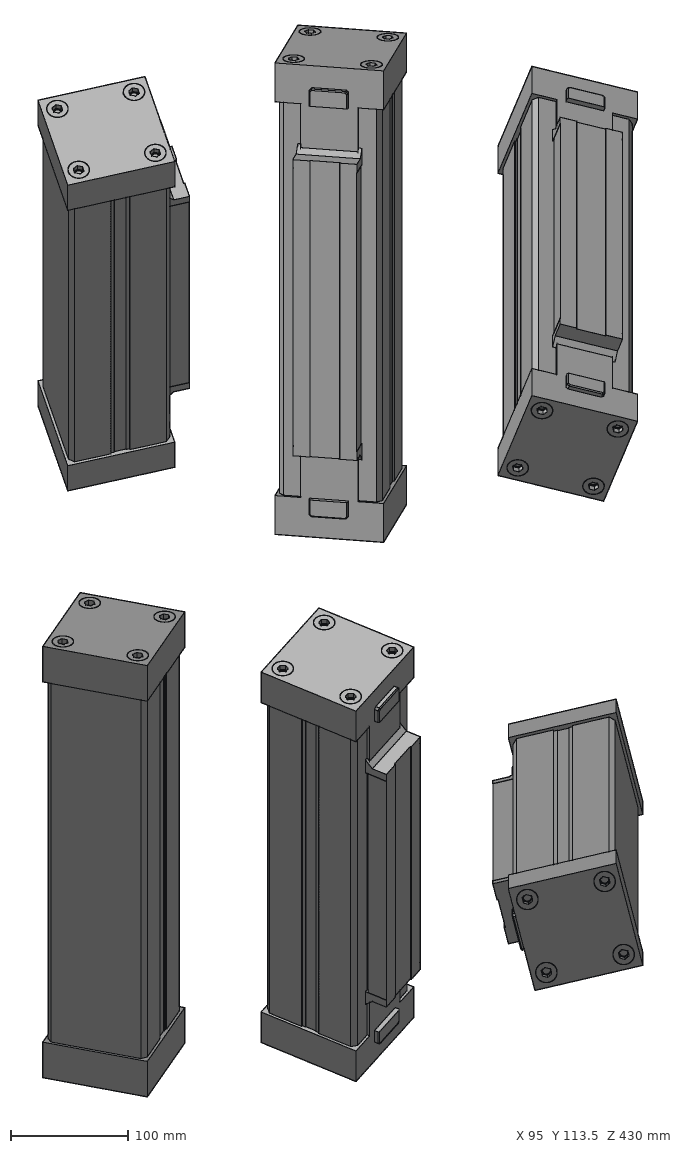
import cadquery as cq
import math

total_length = 430.0
cap_size = 95.0
cap_thickness = 35.5

profile_size = 90.0
profile_chamfer = 4.3
rail_width = 50.0

slot_mouth_width = 16.8
slot_mouth_depth = 1.0
slot_neck_width = 10.4
slot_neck_depth = 0.5

screw_offset = 34.0
counterbore_diameter = 18.5
screw_head_diameter = 18.0
screw_head_height = 10.0
socket_across_flats = 8.0
socket_depth = 5.0
socket_tip_diameter = 7.0
socket_tip_depth = 1.0

pad_width = 34.0
pad_length = 15.5
pad_height = 4.5
pad_corner_chamfer = 2.0
pad_edge_chamfer = 1.0

carriage_length = 270.0
carriage_width = 56.0
carriage_top = 66.0
carriage_end_length = 8.0
carriage_side_step = 0.25
wiper_flare = 7.0
top_groove_width = 26.0
top_groove_depth = 1.0

half_length = total_length / 2
profile_length = total_length - 2 * cap_thickness
profile_half = profile_size / 2
cap_half = cap_size / 2
rail_top = cap_half


def make_profile():
    """Square extrusion with chamfered corners, a raised rail and a stepped slot in each side."""
    profile = cq.Workplane("XY").box(profile_size, profile_size, profile_length)
    profile = profile.edges("|Z").chamfer(profile_chamfer)
    rail = cq.Workplane("XY").box(
        rail_width, rail_top, profile_length, centered=(True, False, True)
    )
    profile = profile.union(rail)
    slot_depth = slot_mouth_depth + slot_neck_depth
    for width, depth in ((slot_mouth_width, slot_mouth_depth), (slot_neck_width, slot_depth)):
        for side in (-1, 1):
            slot = cq.Workplane("XY").box(2 * depth, width, profile_length)
            profile = profile.cut(slot.translate((side * profile_half, 0, 0)))
    return profile


def make_screw_cuts():
    """Annular gap around a flush screw head, and the hexagon socket in it; head top at Z = 0."""
    gap = (
        cq.Workplane("XY")
        .circle(counterbore_diameter / 2)
        .circle(screw_head_diameter / 2)
        .extrude(-screw_head_height)
    )
    across_corners = socket_across_flats / math.cos(math.pi / 6)
    socket = cq.Workplane("XY").polygon(6, across_corners).extrude(-socket_depth)
    tip = cq.Workplane("XY").circle(socket_tip_diameter / 2).extrude(-socket_depth - socket_tip_depth)
    return gap.union(socket).union(tip)


def make_pad():
    """Pad on the +Y side of the cap, plain at the cap's inner face and chamfered elsewhere."""
    pad = cq.Workplane("XY").box(pad_width, pad_height, pad_length, centered=(True, False, False))
    pad = pad.edges("|Y and >Z").chamfer(pad_corner_chamfer)
    pad = pad.faces(">Y").edges("not <Z").chamfer(pad_edge_chamfer)
    return pad.translate((0, cap_half, half_length - cap_thickness))


def make_end_cap():
    """Upper end cap with four flush screws and its pad."""
    cap = cq.Workplane("XY").box(cap_size, cap_size, cap_thickness)
    cap = cap.translate((0, 0, half_length - cap_thickness / 2))
    screw = make_screw_cuts()
    for x in (-screw_offset, screw_offset):
        for y in (-screw_offset, screw_offset):
            cap = cap.cut(screw.translate((x, y, half_length)))
    return cap.union(make_pad())


def make_housing():
    """Profile closed by two mirrored end caps."""
    upper_cap = make_end_cap()
    lower_cap = upper_cap.mirror("XY")
    return make_profile().union(upper_cap).union(lower_cap)


def make_carriage(housing):
    """Carriage over the rail: a slightly narrower middle between two flared end pieces."""
    half = carriage_length / 2
    flare_top = profile_half + wiper_flare
    ends_outline = [
        (profile_half, -half - wiper_flare),
        (flare_top, -half),
        (carriage_top, -half),
        (carriage_top, half),
        (flare_top, half),
        (profile_half, half + wiper_flare),
    ]
    carriage = cq.Workplane("YZ").polyline(ends_outline).close().extrude(carriage_width / 2, both=True)

    middle_length = carriage_length - 2 * carriage_end_length
    middle_width = carriage_width - 2 * carriage_side_step
    side_height = carriage_top - profile_half
    for side in (-1, 1):
        relief = cq.Workplane("XY").box(
            carriage_width, side_height, middle_length, centered=(True, False, True)
        )
        shift = side * (middle_width + carriage_width) / 2
        carriage = carriage.cut(relief.translate((shift, profile_half, 0)))

    underside = cq.Workplane("XY").box(
        carriage_width, rail_top, middle_length, centered=(True, False, True)
    )
    top_groove = cq.Workplane("XY").box(top_groove_width, 2 * top_groove_depth, carriage_length)
    carriage = carriage.cut(underside).cut(top_groove.translate((0, carriage_top, 0)))
    return carriage.cut(housing)


housing = make_housing()
carriage = make_carriage(housing)

result = cq.Compound.makeCompound([housing.val(), carriage.val()])